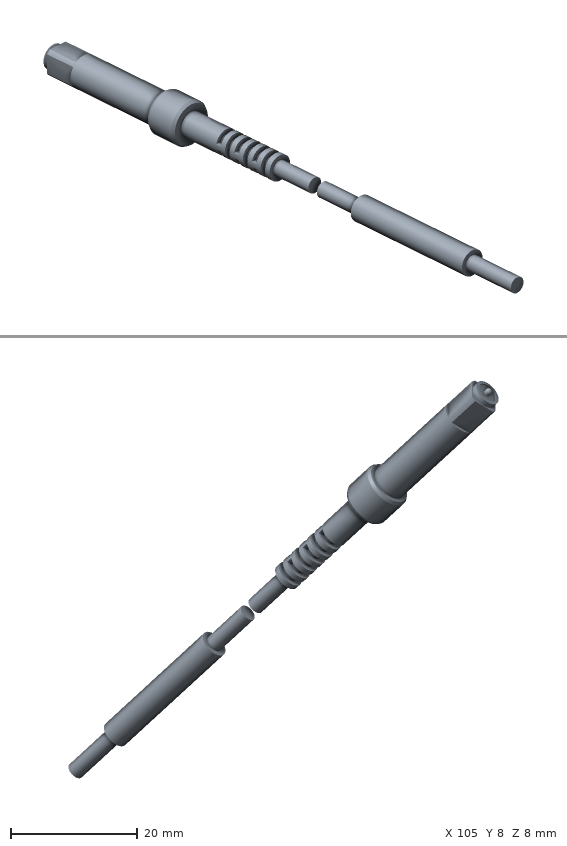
import cadquery as cq

total_length = 105.0
cable_end = 59.5
tail_start = 61.4

pin_diameter = 1.2
nose_start = 0.8
recess_diameter = 3.5
recess_depth = 0.2
nose_diameter = 4.5
nose_length = 0.9
barrel_diameter = 6.0
across_flats = 4.8
flats_end = 7.7
collar_start = 25.7
collar_end = 31.8
collar_diameter = 8.0
collar_bevel_length = 0.5
collar_bevel_depth = 0.3

boot_diameter = 4.6
cable_diameter = 2.8
groove_start = 39.7
groove_width = 1.0
groove_pitch = 2 * groove_width
groove_count = 6
web_thickness = 0.9

sleeve_start = 69.9
sleeve_end = 94.9
sleeve_diameter = 4.6

flats_start = nose_start + nose_length
boot_end = groove_start + groove_count * groove_pitch


def rod(start, end, diameter):
    """Round bar on the X axis."""
    return cq.Workplane("YZ", origin=(start, 0, 0)).circle(diameter / 2).extrude(end - start)


def make_pin():
    """Contact pin with a domed tip, rooted inside the nose."""
    tip_radius = pin_diameter / 2
    dome = cq.Workplane("XY").sphere(tip_radius).translate((tip_radius, 0, 0))
    return rod(tip_radius, flats_start, pin_diameter).union(dome)


def make_nose():
    """Round nose and the square section, with a shallow face recess around the pin."""
    nose = rod(nose_start, flats_start, nose_diameter)
    square = cq.Workplane("YZ", origin=(flats_start, 0, 0)).rect(across_flats, across_flats)
    square = square.extrude(flats_end - flats_start)
    flats = rod(flats_start, flats_end, barrel_diameter).intersect(square)
    recess = rod(nose_start, nose_start + recess_depth, recess_diameter)
    return nose.union(flats).cut(recess).union(make_pin())


def make_groove(index):
    """Ring cut down to the cable; even grooves keep a web lying in the XY plane."""
    start = groove_start + index * groove_pitch
    end = start + groove_width
    groove = rod(start, end, collar_diameter).cut(rod(start, end, cable_diameter))
    if index % 2 == 0:
        web = cq.Workplane("XY").box(groove_width, collar_diameter, web_thickness)
        groove = groove.cut(web.translate((start + groove_width / 2, 0, 0)))
    return groove


def make_boot():
    """Strain relief sleeve with its row of grooves."""
    boot = rod(collar_end, boot_end, boot_diameter)
    for index in range(groove_count):
        boot = boot.cut(make_groove(index))
    return boot


def make_collar():
    """Large ring, with a shallow bevel at both ends."""
    radius = collar_diameter / 2
    end_radius = radius - collar_bevel_depth
    profile = (
        cq.Workplane("XY")
        .moveTo(collar_start, 0)
        .lineTo(collar_start, end_radius)
        .lineTo(collar_start + collar_bevel_length, radius)
        .lineTo(collar_end - collar_bevel_length, radius)
        .lineTo(collar_end, end_radius)
        .lineTo(collar_end, 0)
        .close()
    )
    return profile.revolve(360, (0, 0, 0), (1, 0, 0))


def make_connector():
    """Nose, barrel, collar, strain relief and cable stub as one solid."""
    barrel = rod(flats_end, collar_start, barrel_diameter)
    cable = rod(collar_end, cable_end, cable_diameter)
    return make_nose().union(barrel).union(make_collar()).union(make_boot()).union(cable)


def make_tail():
    """Cable with a plain sleeve around its middle."""
    cable = rod(tail_start, total_length, cable_diameter)
    return cable.union(rod(sleeve_start, sleeve_end, sleeve_diameter))


connector = make_connector()
tail = make_tail()

result = cq.Compound.makeCompound([connector.val(), tail.val()])